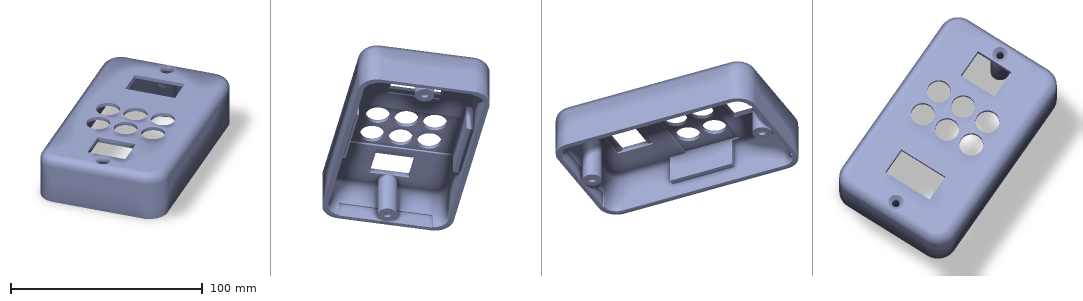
import cadquery as cq

width = 69.8
length = 114.3
height = 26.0
corner_radius = 10.1
top_fillet = 5.0

wall = 3.0
cavity_width = width - 2 * wall
cavity_length = length - 2 * wall
cavity_height = height - wall

thin_panel = 2.0
panel_recess_depth = wall - thin_panel
button_recess_margin = 1.7
upper_recess_length = 20.6
end_recess_depth = 0.7
end_recess_width = width - 2 * corner_radius
end_recess_height = 8.0

rail_gap = 57.2
rail_length = 35.9
rail_bottom = 8.0

button_diameter = 12.5
button_pitch = 15.2
button_columns = 3
button_rows = 2
button_center_y = -6.7

upper_window = (27.5, 15.1)
upper_window_y = 30.9
lower_window = (21.0, 16.2)
lower_window_y = -36.1

screw_diameter = 4.0
countersink_diameter = 8.0
countersink_angle = 90.0
boss_diameter = 10.1
screw_points = [(0, 49.3), (0, -49.3)]


def block(size_x, size_y, size_z, bottom=0.0):
    """Box centred on the Z axis, standing on the given height."""
    return cq.Workplane("XY", origin=(0, 0, bottom)).box(
        size_x, size_y, size_z, centered=(True, True, False)
    )


def rounded_block(size_x, size_y, size_z, side_radius, top_radius):
    body = block(size_x, size_y, size_z).edges("|Z").fillet(side_radius)
    return body.faces(">Z").edges().fillet(top_radius)


def on_top(part, center_y=0.0):
    """Workplane on the outer face of the panel."""
    return part.faces(">Z").workplane(origin=(0, center_y, height))


def make_shell():
    outer = rounded_block(width, length, height, corner_radius, top_fillet)
    cavity = rounded_block(
        cavity_width, cavity_length, cavity_height, corner_radius - wall, top_fillet - wall
    )
    return outer.cut(cavity)


def make_rails():
    """Rails rooted halfway into the long walls and rising to the panel."""
    rail_height = cavity_height - rail_bottom
    span = block(width - wall, rail_length, rail_height, rail_bottom)
    gap = block(rail_gap, rail_length, rail_height, rail_bottom)
    return span.cut(gap)


def make_bosses():
    return (
        cq.Workplane("XY")
        .pushPoints(screw_points)
        .circle(boss_diameter / 2)
        .extrude(height - thin_panel)
    )


def make_panel_recesses():
    """Pockets in the underside of the panel, behind the buttons and the upper window."""
    button_recess_length = (button_rows - 1) * button_pitch + button_diameter + 2 * button_recess_margin
    behind_buttons = block(rail_gap, button_recess_length, panel_recess_depth, cavity_height)
    behind_window = block(upper_window[0], upper_recess_length, panel_recess_depth, cavity_height)
    return behind_buttons.translate((0, button_center_y, 0)).union(
        behind_window.translate((0, upper_window_y, 0))
    )


def make_end_recesses():
    """Shallow pockets in the inner faces of both end walls, open at the bottom."""
    reach = block(end_recess_width, cavity_length + 2 * end_recess_depth, end_recess_height)
    middle = block(end_recess_width, cavity_length, end_recess_height)
    return reach.cut(middle)


cover = make_shell()
cover = cover.cut(make_panel_recesses()).cut(make_end_recesses())
cover = cover.union(make_rails()).union(make_bosses())

for window, window_y in ((upper_window, upper_window_y), (lower_window, lower_window_y)):
    cover = on_top(cover, window_y).rect(*window).cutBlind(-wall)

cover = (
    on_top(cover, button_center_y)
    .rarray(button_pitch, button_pitch, button_columns, button_rows)
    .circle(button_diameter / 2)
    .cutBlind(-wall)
)

cover = (
    on_top(cover)
    .pushPoints(screw_points)
    .cskHole(screw_diameter, countersink_diameter, countersink_angle)
)

result = cover